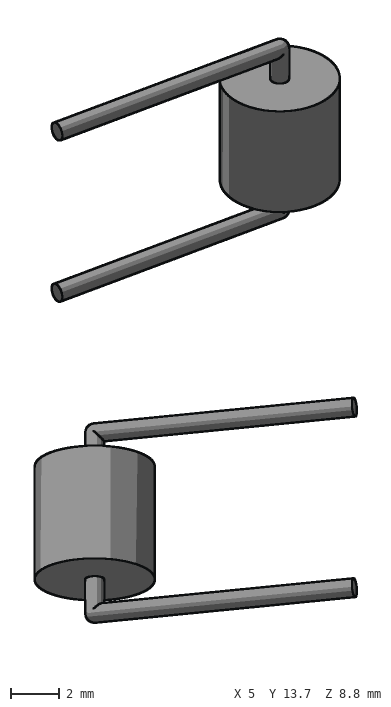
import cadquery as cq

total_depth = 13.7
body_diameter = 5.0
body_height = 5.0
wire_diameter = 0.8
lead_pitch = 8.0

wire_radius = wire_diameter / 2
lead_length = total_depth - body_diameter / 2


def make_body():
    """Cylinder on the Z axis, centred on the origin."""
    return cq.Workplane("XY").cylinder(body_height, body_diameter / 2)


def make_axial_wire():
    """Straight wire through the body, joining both leads."""
    return cq.Workplane("XY").cylinder(lead_pitch, wire_radius)


def make_lead(height):
    """Lead running toward -Y, with a ball rounding its elbow."""
    lead = cq.Workplane("XZ", origin=(0, 0, height)).circle(wire_radius).extrude(lead_length)
    elbow = cq.Workplane("XY").sphere(wire_radius).translate((0, 0, height))
    return lead.union(elbow)


result = make_body().union(make_axial_wire())
for side in (-1, 1):
    result = result.union(make_lead(side * lead_pitch / 2))